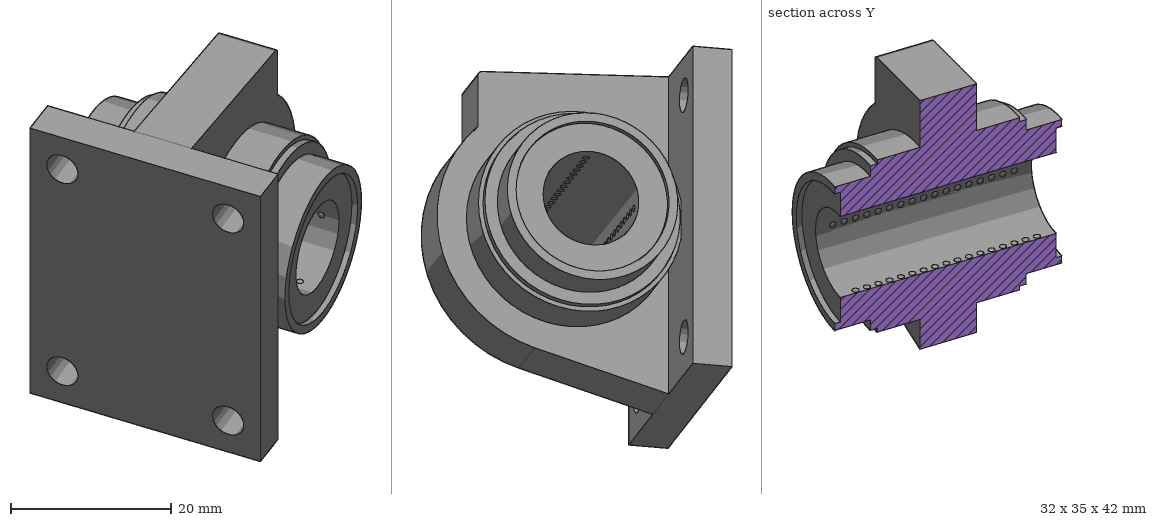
import cadquery as cq
import math

plate_width = 32.0
plate_height = 42.0
plate_thickness = 5.1
mount_hole_diameter = 4.33
mount_hole_spacing_x = 23.0
mount_hole_spacing_z = 32.0

bore_axis_y = 18.0
lug_thickness = 8.0
lug_radius = 16.95
step_front_y = 29.75
step_top_z = 19.57
step_corner_radius = 0.65

boss_radius = 13.2
boss_length = 20.08
ring_radius = 12.6
ring_length = 22.0
sleeve_radius = 11.0
sleeve_length = plate_width

recess_radius = 9.85
recess_depth = 0.8
bore_radius = 6.17
ball_radius = 0.75
ball_protrusion = 0.145
ball_pitch = 1.6
balls_per_row = 17
ball_row_count = 4


def make_plate():
    plate = cq.Workplane("XY").box(
        plate_width, plate_thickness, plate_height, centered=(True, False, True)
    )
    holes = (
        cq.Workplane("XZ")
        .rect(mount_hole_spacing_x, mount_hole_spacing_z, forConstruction=True)
        .vertices()
        .circle(mount_hole_diameter / 2)
        .extrude(-plate_thickness)
    )
    return plate.cut(holes)


def lug_arc_point(angle):
    return (bore_axis_y + lug_radius * math.cos(angle), lug_radius * math.sin(angle))


def make_lug():
    half_height = plate_height / 2
    corner_to_axis_y = bore_axis_y - plate_thickness
    corner_distance = math.hypot(corner_to_axis_y, half_height)
    flank_angle = math.atan2(half_height, corner_to_axis_y) - math.asin(lug_radius / corner_distance)
    tangent_angle = -math.pi / 2 + flank_angle
    step_angle = math.acos((step_front_y - bore_axis_y) / lug_radius)
    lug = (
        cq.Workplane("YZ")
        .moveTo(plate_thickness, -half_height)
        .lineTo(*lug_arc_point(tangent_angle))
        .threePointArc(lug_arc_point(0), lug_arc_point(step_angle))
        .lineTo(step_front_y, step_top_z)
        .lineTo(plate_thickness, half_height)
        .close()
        .extrude(lug_thickness / 2, both=True)
    )
    step_corner = cq.selectors.NearestToPointSelector((0, step_front_y, step_top_z))
    return lug.edges(step_corner).fillet(step_corner_radius)


def axial_cylinder(radius, length):
    return (
        cq.Workplane("YZ")
        .center(bore_axis_y, 0)
        .circle(radius)
        .extrude(length / 2, both=True)
    )


def make_balls():
    """Rows of balls set in the bore wall, each standing slightly proud of it."""
    centre_radius = bore_radius - ball_protrusion + ball_radius
    first_x = -ball_pitch * (balls_per_row - 1) / 2
    centres = []
    for row in range(ball_row_count):
        angle = 2 * math.pi * row / ball_row_count
        y = bore_axis_y + centre_radius * math.cos(angle)
        z = centre_radius * math.sin(angle)
        for index in range(balls_per_row):
            centres.append((first_x + index * ball_pitch, y, z))
    return cq.Workplane("XY").pushPoints(centres).sphere(ball_radius)


result = make_plate().union(make_lug())
result = result.union(axial_cylinder(boss_radius, boss_length))
result = result.union(axial_cylinder(ring_radius, ring_length))
result = result.union(axial_cylinder(sleeve_radius, sleeve_length))

recesses = axial_cylinder(recess_radius, sleeve_length).cut(
    axial_cylinder(recess_radius, sleeve_length - 2 * recess_depth)
)
result = result.cut(recesses)
result = result.cut(axial_cylinder(bore_radius, sleeve_length))
result = result.union(make_balls())